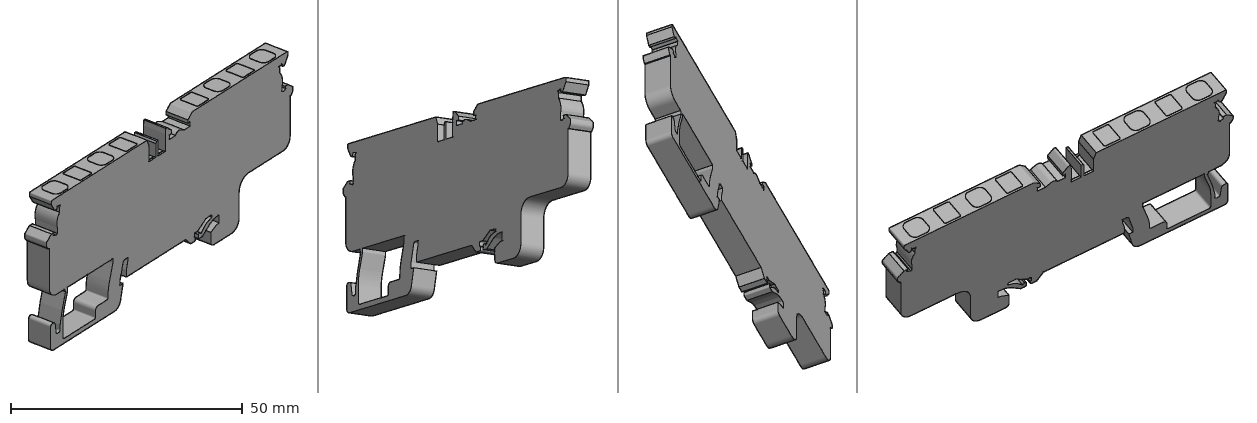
import cadquery as cq
import math

WIDTH = 6.0
LENGTH = 86.2
HEIGHT = 37.4
HALF_LENGTH = LENGTH / 2

BODY_END = 42.15
BODY_BOTTOM = 13.4
BODY_CORNER = 2.6
FOOT_EDGE_RADIUS = 1.0
RAIL_SEAT = 6.6

NOTCH_CENTRE = 3.5
NOTCH_FLOOR = 34.1
BUMP_PEAK_Y = 2.7
BUMP_PEAK_Z = 35.25
BUMP_RADIUS = 1.4

SLOT_FLOOR = 31.8
SLOT_MOUTH_START = -1.4
SLOT_START = -1.55
SLOT_FLARE_START = 36.1
SLOT_FLARE_END = 35.7
SLOT_END = -7.2
SLOT_MOUTH_END = -7.9
FIN_START = -4.05
FIN_END = -4.8
FIN_TOP = 35.7
FIN_CHAMFER_WIDTH = 0.3
FIN_CHAMFER_DROP = 0.5

FOOT_OUTER = 24.3
FOOT_INNER = 14.4
FOOT_BOTTOM = 0.95
HOOK_BOTTOM = 4.8

CLIP_OUTER = -41.7
CLIP_BOTTOM = 0.0
CLIP_FLOOR = 1.2
TAB_TOP = 6.7
TAB_GROOVE_FLOOR = 3.5
WINDOW_STEP = 4.05

RECESS_DEPTH = 0.1
RECESS_WIDTH = 4.9
TERMINAL_PITCH = 15.95
TERMINALS_PER_SIDE = 2
WIRE_ENTRY_INNER = 20.35
WIRE_ENTRY_LENGTH = 4.9
WIRE_ENTRY_CORNER = 1.5
RELEASE_INNER = 12.5
RELEASE_LENGTH = 4.1
RELEASE_CORNER = 0.35

POINT_TOLERANCE = 8.62e-07


def rounded_wire(corners):
    """Closed YZ outline through (y, z) corners; a third value rounds that corner to a radius."""
    arcs = []
    count = len(corners)
    for i, corner in enumerate(corners):
        here = cq.Vector(0, corner[0], corner[1])
        radius = corner[2] if len(corner) > 2 else 0
        before = corners[i - 1]
        after = corners[(i + 1) % count]
        to_before = (cq.Vector(0, before[0], before[1]) - here).normalized()
        to_after = (cq.Vector(0, after[0], after[1]) - here).normalized()
        if radius == 0:
            arcs.append((here, here, here))
            continue
        half_angle = to_before.getAngle(to_after) / 2
        setback = radius / math.tan(half_angle)
        centre_distance = radius / math.sin(half_angle)
        bisector = (to_before + to_after).normalized()
        middle = here + bisector * (centre_distance - radius)
        arcs.append((here + to_before * setback, middle, here + to_after * setback))

    edges = []
    for i, (start, middle, end) in enumerate(arcs):
        if (end - start).Length > POINT_TOLERANCE:
            edges.append(cq.Edge.makeThreePointArc(start, middle, end))
        next_start = arcs[(i + 1) % count][0]
        if (next_start - end).Length > POINT_TOLERANCE:
            edges.append(cq.Edge.makeLine(end, next_start))
    return cq.Wire.assembleEdges(edges)


def plate(corners):
    """Full-width plate with the given side outline."""
    solid = cq.Solid.extrudeLinear(rounded_wire(corners), [], cq.Vector(WIDTH, 0, 0))
    return cq.Workplane(solid.translate(cq.Vector(-WIDTH / 2, 0, 0)))


def end_profile(side):
    """Corners of one end of the body, from the top edge down to the bottom corner."""
    corners = [
        (41.4, HEIGHT, 0.35),
        (41.4, 36.4),
        (40.2, 34.4),
        (39.6, 34.4),
        (39.3, 35.2),
        (38.3, 34.9),
        (38.5, 34.5),
        (38.5, 33.3),
        (39.65, 31.9, 3.7),
        (39.5, 30.3),
        (39.3, 29.7),
        (39.3, 28.4),
        (39.65, 28.1),
        (40.6, 28.45),
        (40.3, 29.1),
        (41.4, 29.1),
        (HALF_LENGTH, 27.8, 0.4),
        (HALF_LENGTH, 26.7, 1.1),
        (42.4, 25.9),
        (BODY_END, 25.9),
        (BODY_END, BODY_BOTTOM, BODY_CORNER),
    ]
    return [(side * y, *rest) for y, *rest in corners]


def notch_half(side):
    """Half of the latching notch: rounded lip, undercut and floor, from the top face inwards."""
    corners = [
        (4.4, HEIGHT, 0.9),
        (2.85, 36.0),
        (2.85, 35.2),
        (3.6, 35.2),
        (3.6, NOTCH_FLOOR),
        (1.55, NOTCH_FLOOR),
    ]
    return [(NOTCH_CENTRE + side * y, *rest) for y, *rest in corners]


def top_notch():
    """Latching notch with a rounded bump on its floor, from +Y to -Y."""
    bump = [(BUMP_PEAK_Y, BUMP_PEAK_Z, BUMP_RADIUS)]
    return notch_half(1) + bump + notch_half(-1)[::-1]


def spring_foot():
    """Spring foot from its outer leaf, around the release tab, to the gap beside the rail."""
    leaf_and_tab = [
        (-36.8, BODY_BOTTOM),
        (-36.5, 12.6),
        (-37.7, 8.45),
        (-38.4, 5.2),
        (-38.4, TAB_GROOVE_FLOOR, 0.4),
        (-39.65, TAB_GROOVE_FLOOR, 0.4),
        (-40.2, TAB_TOP, 0.7),
        (CLIP_OUTER, TAB_TOP, 0.7),
        (CLIP_OUTER, CLIP_BOTTOM, FOOT_EDGE_RADIUS),
    ]
    latch_and_gap = [
        (-17.6, CLIP_BOTTOM, 2.2),
        (-16.3, 5.6),
        (-17.3, 5.6),
        (-17.3, 6.9),
        (-16.2, 11.3, 0.7),
        (-14.65, 11.3),
        (-14.65, 10.5),
        (-15.2, 8.45),
        (-15.2, RAIL_SEAT),
    ]
    return leaf_and_tab + latch_and_gap


def fixed_foot():
    """Rail stop, curved spring arm and fixed hook, ending at the outer foot wall."""
    rail_stop = [
        (5.6, RAIL_SEAT),
        (7.3, HOOK_BOTTOM),
        (9.0, HOOK_BOTTOM, 0.3),
        (9.0, 5.7),
        (8.6, 5.95),
        (8.6, 6.9, 0.35),
        (9.8, 6.9),
    ]
    spring_arm = [
        (12.7, 8.7),
        (14.7, 8.7, 0.35),
        (14.7, 8.1),
        (12.8, 7.5, 2.6),
        (10.95, 5.8),
        (10.5, 6.2),
        (10.0, 5.95),
        (10.0, HOOK_BOTTOM, 0.3),
        (11.5, HOOK_BOTTOM),
        (14.0, 6.7, 2.6),
        (15.5, 7.4, 0.9),
        (17.2, 7.6, 0.3),
    ]
    hook = [
        (17.2, 5.6),
        (16.3, 5.4),
        (FOOT_INNER, 4.5),
        (FOOT_INNER, FOOT_BOTTOM, FOOT_EDGE_RADIUS),
        (FOOT_OUTER, FOOT_BOTTOM, 2.8),
        (FOOT_OUTER, BODY_BOTTOM, 3.4),
    ]
    return rail_stop + spring_arm + hook


def block():
    """Complete outer outline of the terminal block, extruded over the full width."""
    upper = end_profile(1)[::-1] + top_notch() + end_profile(-1)
    return plate(upper + spring_foot() + fixed_foot())


def spring_window():
    """Opening between the body and the spring foot that leaves the thin outer leaf."""
    return plate([
        (-19.9, BODY_BOTTOM),
        (-19.9, 12.2),
        (-21.6, 6.4, 13.4),
        (-21.6, WINDOW_STEP, 0.35),
        (-26.0, WINDOW_STEP, 1.0),
        (-26.0, CLIP_FLOOR, 0.35),
        (-37.3, CLIP_FLOOR, 0.5),
        (-37.3, 7.2, 11.2),
        (-35.7, 12.5),
        (-35.7, BODY_BOTTOM),
    ])


def top_slots():
    """Both slots beside the fin, with the chamfered fin tip and the flared outer mouths."""
    return plate([
        (SLOT_MOUTH_START, HEIGHT),
        (SLOT_START, SLOT_FLARE_START),
        (SLOT_START, SLOT_FLOOR),
        (FIN_START, SLOT_FLOOR),
        (FIN_START, FIN_TOP),
        (FIN_END + FIN_CHAMFER_WIDTH, FIN_TOP),
        (FIN_END, FIN_TOP - FIN_CHAMFER_DROP),
        (FIN_END, SLOT_FLOOR),
        (SLOT_END, SLOT_FLOOR),
        (SLOT_END, SLOT_FLARE_END),
        (SLOT_MOUTH_END, HEIGHT),
    ])


def recess(y_centre, length, corner, surface):
    """Shallow rectangular recess below a horizontal surface, with optional rounded corners."""
    pocket = cq.Workplane("XY").box(RECESS_WIDTH, length, RECESS_DEPTH)
    if corner > 0:
        pocket = pocket.edges("|Z").fillet(corner)
    return pocket.translate((0, y_centre, surface - RECESS_DEPTH / 2))


result = block().cut(spring_window()).cut(top_slots())

for side in (1, -1):
    for step in range(TERMINALS_PER_SIDE):
        offset = step * TERMINAL_PITCH
        wire_y = side * (WIRE_ENTRY_INNER + offset)
        release_y = side * (RELEASE_INNER + offset)
        result = result.cut(recess(wire_y, WIRE_ENTRY_LENGTH, WIRE_ENTRY_CORNER, HEIGHT))
        result = result.cut(recess(release_y, RELEASE_LENGTH, RELEASE_CORNER, HEIGHT))

for start, end in ((SLOT_START, FIN_START), (FIN_END, SLOT_END)):
    result = result.cut(recess((start + end) / 2, start - end, 0, SLOT_FLOOR))